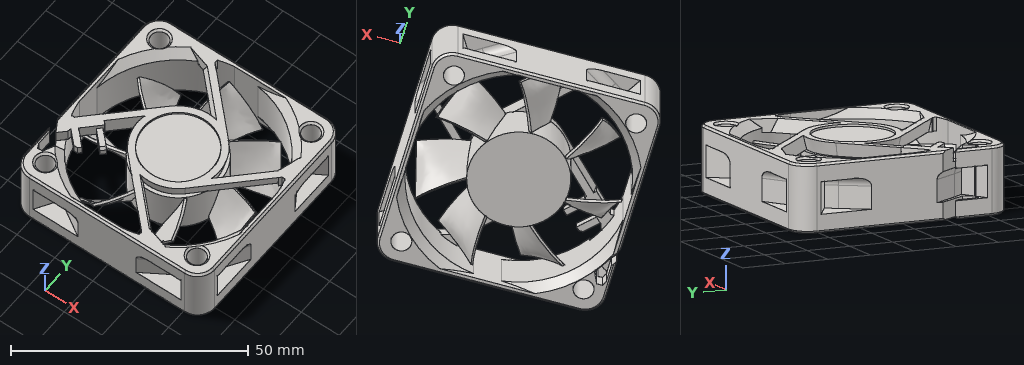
import cadquery as cq
import math

side = 50.0
height = 15.0
corner_radius = 4.5
edge_chamfer = 0.5
half_side = side / 2

bore_radius = 24.0
wall_thickness = 1.2
flat_offset = half_side - wall_thickness
flare_depth = 2.0
flare_radius = bore_radius + flare_depth

hole_diameter = 4.4
hole_pitch = 40.0
hole_chamfer = 0.5

window_bottom = 4.0
window_top = 11.0
window_far = 19.5
window_back_radius = bore_radius + wall_thickness
window_tangent_angle = 32.6
window_arc_end_x = 16.05
window_roof_radius = 2.0

disc_radius = 10.75
recess_radius = 9.0
recess_depth = 0.5
strut_height = 3.0
strut_outer = disc_radius
strut_inner = recess_radius
strut_lean = 0.7
plain_strut_angles = (135, 45, -45)
wire_strut_angle = 225
root_inner_start = 19.85
root_inner_end = (25.07, 6.26)
root_far_point = (26.5, 7.7)
root_outer_edge = [(20.6, strut_outer), (22.03, 12.2)]

shoulder_start = 14.5
shoulder_inner = 7.85
inner_prong_start = 14.9
inner_prong_width = 1.45
inner_prong_tip = 2.5
inner_prong_drop = 1.0
inner_prong_chamfer = 0.6
outer_prong_start = 20.1
outer_prong_width = 1.65
outer_prong_tip = 2.8
outer_prong_height = 2.0
outer_prong_bevel = 0.7
channel_near = 4.0
channel_far = 7.35
channel_start = 20.0
channel_end = 26.0
channel_depth = 3.0
wire_root_inner_edge = [(25.5, channel_far), (22.5, channel_far)]
slot_mouth_top = -9.1
slot_mouth_bottom = -12.0
slot_corner = (-21.1, -15.5)
pocket_lip = 0.9
pocket_end_x = (-23.6, -22.3)
pocket_end_y = -18.0
pocket_bevel = 1.1

rotor_radius = 11.0
rotor_bottom = 1.5
blade_count = 7
blade_first_angle = 36.9
blade_top = 11.5
blade_bottom = 2.0
blade_thickness = 0.65
blade_sections = (
    (9.0, 4.1, 0.6, 0.6),
    (16.0, 4.45, -2.0, 0.5),
    (20.3, 4.15, -4.2, 0.2),
    (21.7, 3.95, -5.1, -0.8),
)


def turned(shape, angle):
    return shape.rotate((0, 0, 0), (0, 0, 1), angle)


def prism(points, bottom, top):
    return cq.Workplane("XY").workplane(offset=bottom).polyline(points).close().extrude(top - bottom)


def strut_prism(points, angle, bottom, top):
    """Upright block with its outline given in strut coordinates."""
    return turned(prism([(s, -t) for s, t in points], bottom, top), angle)


def cylinder(radius, bottom, top):
    return cq.Workplane("XY").workplane(offset=bottom).circle(radius).extrude(top - bottom)


def revolved(profile):
    """Round body about the fan axis from its (radius, height) profile."""
    return cq.Workplane("XZ").polyline(profile).close().revolve(360, (0, 0), (0, 1))


def clip_to_walls(shape):
    """Keeps the thin side walls whole where a round cut would run too close to the outside."""
    square = cq.Workplane("XY").rect(2 * flat_offset, 2 * flat_offset).extrude(height)
    return shape.intersect(square)


def frame_block():
    block = cq.Workplane("XY").rect(side, side).extrude(height).edges("|Z").fillet(corner_radius)
    return block.faces("<Z or >Z").edges().chamfer(edge_chamfer)


def air_duct():
    return clip_to_walls(cylinder(bore_radius, 0, height))


def bottom_flare():
    """Conical widening of the duct all round its lower mouth."""
    profile = [(0, 0), (flare_radius, 0), (bore_radius, flare_depth), (0, flare_depth)]
    return clip_to_walls(revolved(profile))


def top_flare(angle):
    """Conical widening of the upper mouth, in the sector beside the inner face of one strut."""
    low = height - flare_depth
    profile = [(0, low), (bore_radius, low), (flare_radius, height), (0, height)]
    sector = [
        (0, 0),
        (root_inner_start, strut_inner),
        root_inner_end,
        (side, root_inner_end[1]),
        (side, -side),
    ]
    return clip_to_walls(revolved(profile)).intersect(strut_prism(sector, angle, 0, height))


def hole_cutters():
    profile = [
        (0, 0),
        (hole_diameter / 2, 0),
        (hole_diameter / 2, height - hole_chamfer),
        (hole_diameter / 2 + hole_chamfer, height),
        (0, height),
    ]
    hole = revolved(profile).translate((hole_pitch / 2, hole_pitch / 2, 0))
    return [turned(hole, 90 * corner) for corner in range(4)]


def window():
    """Recess in the -Y wall, right of the middle, with its back following the duct."""
    angle = math.radians(window_tangent_angle)
    tangent = (window_back_radius * math.sin(angle), -window_back_radius * math.cos(angle))
    overrun = 4.0
    outside_y = -half_side - overrun
    near_outside = (tangent[0] - (tangent[1] - outside_y) / math.tan(angle), outside_y)

    def back_point(x):
        return (x, -math.sqrt(window_back_radius**2 - x**2))

    arc_middle = back_point((tangent[0] + window_arc_end_x) / 2)
    arc_end = back_point(window_arc_end_x)
    far_slope = (window_far - window_arc_end_x) / (half_side + arc_end[1])
    far_outside = (window_far - far_slope * (half_side + outside_y), outside_y)
    recess = (
        cq.Workplane("XY")
        .workplane(offset=window_bottom)
        .moveTo(*near_outside)
        .lineTo(*tangent)
        .threePointArc(arc_middle, arc_end)
        .lineTo(*far_outside)
        .close()
        .extrude(window_top - window_bottom)
    )
    back_roof_edge = cq.selectors.NearestToPointSelector((*arc_middle, window_top))
    return recess.edges(back_roof_edge).fillet(window_roof_radius)


def window_cutters():
    right = window()
    left = right.mirror("YZ")
    return [turned(shape, 90 * wall) for wall in range(4) for shape in (right, left)]


def wire_pocket():
    """Opening through the full height at the -X wall, behind a thin outer lip."""
    beyond = 1.0
    slot_slope = (slot_mouth_top - slot_corner[1]) / (-half_side - slot_corner[0])
    lip_x = -half_side + pocket_lip
    outline = [
        (-half_side - beyond, slot_mouth_top - slot_slope * beyond),
        slot_corner,
        (pocket_end_x[1], pocket_end_y),
        (pocket_end_x[0], pocket_end_y),
        (lip_x, pocket_end_y + pocket_bevel),
        (lip_x, slot_mouth_bottom - pocket_bevel),
        (-half_side, slot_mouth_bottom),
        (-half_side - beyond, slot_mouth_bottom),
    ]
    return prism(outline, 0, height)


def wire_channel():
    """Groove across the duct rim that leads the wires into the pocket."""
    outline = [
        (channel_start, channel_near),
        (channel_end, channel_near),
        (channel_end, channel_far),
        (channel_start, channel_far),
    ]
    return strut_prism(outline, wire_strut_angle, height - channel_depth, height)


def strut_arm(angle, length):
    """Straight strut that leans towards its inner side on the way down."""
    section = [
        (-strut_inner, height),
        (-strut_outer, height),
        (-strut_outer + strut_lean, height - strut_height),
        (-strut_inner + strut_lean, height - strut_height),
    ]
    arm = cq.Workplane("YZ").polyline(section).close().extrude(length)
    return turned(arm, angle)


def plain_strut(angle):
    bottom = height - strut_height
    root = [
        (root_inner_start, strut_inner),
        (root_inner_start, strut_outer),
        *root_outer_edge,
        root_far_point,
        root_inner_end,
    ]
    edge_slope = (root_inner_end[0] - root_inner_start) / (strut_inner - root_inner_end[1])
    foot_end = root_inner_start + edge_slope * strut_lean
    arm_outline = [
        (0, strut_outer),
        (root_inner_start, strut_outer),
        (root_inner_start, strut_inner),
        (foot_end, strut_inner - strut_lean),
        (0, strut_inner - strut_lean),
    ]
    arm = strut_arm(angle, foot_end).intersect(strut_prism(arm_outline, angle, bottom, height))
    return arm.union(strut_prism(root, angle, bottom, height))


def inner_prong(angle):
    start = inner_prong_start
    end = start + inner_prong_width
    top = height - inner_prong_drop
    outline = [
        (start, shoulder_inner),
        (end, shoulder_inner),
        (end, inner_prong_tip),
        (start, inner_prong_tip),
    ]
    prong = strut_prism(outline, 0, height - strut_height, top)
    return turned(prong.faces(">Y").edges(">Z").chamfer(inner_prong_chamfer), angle)


def outer_prong(angle):
    start = outer_prong_start
    end = start + outer_prong_width
    outline = [
        (start, shoulder_inner),
        (end, shoulder_inner),
        (end, outer_prong_tip + outer_prong_bevel),
        (end - outer_prong_bevel, outer_prong_tip),
        (start, outer_prong_tip),
    ]
    return strut_prism(outline, angle, height - outer_prong_height, height)


def wire_strut(angle):
    """Strut with a broad shoulder at its root and two prongs that hold the wires."""
    root = [
        (shoulder_start, strut_outer),
        *root_outer_edge,
        *wire_root_inner_edge,
        (outer_prong_start + outer_prong_width, shoulder_inner),
        (shoulder_start, shoulder_inner),
    ]
    arm = strut_arm(angle, shoulder_start)
    arm = arm.union(strut_prism(root, angle, height - strut_height, height))
    return arm.union(inner_prong(angle)).union(outer_prong(angle))


def hub_disc():
    """Disc that narrows on the way down, as the outer faces of the struts do."""
    profile = [
        (0, height - strut_height),
        (disc_radius - strut_lean, height - strut_height),
        (disc_radius, height),
        (0, height),
    ]
    return revolved(profile)


def make_frame():
    body = frame_block().cut(air_duct()).cut(bottom_flare())
    for angle in (*plain_strut_angles, wire_strut_angle):
        body = body.cut(top_flare(angle))
    for cutter in (*hole_cutters(), *window_cutters(), wire_channel()):
        body = body.cut(cutter)
    for angle in plain_strut_angles:
        body = body.union(plain_strut(angle))
    body = body.union(wire_strut(wire_strut_angle))
    body = body.cut(wire_pocket()).union(hub_disc())
    return body.cut(cylinder(recess_radius, height - recess_depth, height))


def blade_section(distance, top_edge, bottom_edge, camber):
    """Cambered plate, falling from its top edge to its bottom edge, across the blade's radius."""
    run = top_edge - bottom_edge
    fall = blade_top - blade_bottom
    chord = math.hypot(run, fall)
    normal = (-fall / chord, run / chord)

    def raised(point, amount):
        return (point[0] + amount * normal[0], point[1] + amount * normal[1])

    top = (top_edge, blade_top)
    bottom = (bottom_edge, blade_bottom)
    middle = ((top_edge + bottom_edge) / 2, (blade_top + blade_bottom) / 2)
    outline = (
        cq.Workplane("YZ", origin=(distance, 0, 0))
        .moveTo(*top)
        .threePointArc(raised(middle, -camber), bottom)
        .lineTo(*raised(bottom, blade_thickness))
        .threePointArc(raised(middle, blade_thickness - camber), raised(top, blade_thickness))
        .close()
    )
    return outline.val()


def make_blade():
    return cq.Workplane(cq.Solid.makeLoft([blade_section(*section) for section in blade_sections]))


def make_rotor():
    body = cylinder(rotor_radius, rotor_bottom, height - strut_height)
    blade = make_blade()
    for index in range(blade_count):
        body = body.union(turned(blade, blade_first_angle + index * 360 / blade_count))
    return body


frame = make_frame()
rotor = make_rotor()
result = cq.Compound.makeCompound([frame.val(), rotor.val()])